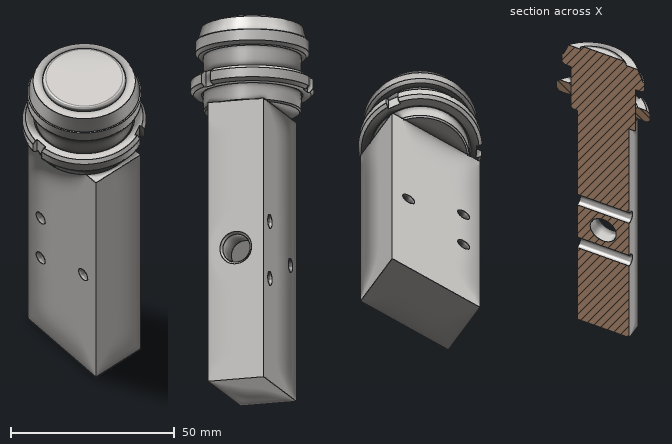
import cadquery as cq

block_width = 32.0
block_depth = 18.0
base_height = 19.0
middle_height = 45.0
upper_height = 24.0
block_height = base_height + middle_height + upper_height
middle_center_z = base_height + middle_height / 2

mount_hole_diameter = 4.25
mount_hole_offset_x = 10.0
mount_hole_offset_z = 9.0

port_diameter = 8.8
port_mouth_diameter = 10.2
port_depth = 9.0

barrel_diameter = 30.0
barrel_edge_chamfer = 0.5
collar_diameter = 35.0
collar_bottom_z = 105.5
collar_chamfer = 1.0
cone_bottom_diameter = 34.0
cone_bottom_z = 110.0
cone_top_diameter = 31.3
cone_top_z = 114.5
button_diameter = 25.5
button_top_z = 116.0
button_edge_radius = 1.0

nut_diameter = 38.0
nut_bottom_z = 93.5
nut_thickness = 5.0
nut_chamfer = 1.0
nut_bore_chamfer = 0.5
slot_width = 4.0
slot_floor_distance = 17.2
slot_count = 3
first_slot_angle = -90.0


def make_block():
    """One block; its middle section carries the mounting holes and the port."""
    block = cq.Workplane("XY").box(block_width, block_depth, block_height, centered=(True, True, False))
    hole_places = [
        (-mount_hole_offset_x, middle_center_z + mount_hole_offset_z),
        (-mount_hole_offset_x, middle_center_z - mount_hole_offset_z),
        (mount_hole_offset_x, middle_center_z),
    ]
    holes = (
        cq.Workplane("XZ")
        .pushPoints(hole_places)
        .circle(mount_hole_diameter / 2)
        .extrude(block_depth / 2, both=True)
    )
    return block.cut(holes).cut(make_port())


def make_port():
    """Blind round port with a 45 degree countersunk mouth, entering from -X."""
    countersink = (port_mouth_diameter - port_diameter) / 2
    face_x = -block_width / 2
    profile = [
        (face_x, 0),
        (face_x, port_mouth_diameter / 2),
        (face_x + countersink, port_diameter / 2),
        (face_x + port_depth, port_diameter / 2),
        (face_x + port_depth, 0),
    ]
    port = cq.Workplane("XY").polyline(profile).close().revolve(360, (0, 0, 0), (1, 0, 0))
    return port.translate((0, 0, middle_center_z))


def make_head():
    """Barrel, chamfered collar, cone and round-edged button turned about Z."""
    barrel_radius = barrel_diameter / 2
    collar_radius = collar_diameter / 2
    button_flat_radius = button_diameter / 2 - button_edge_radius
    return (
        cq.Workplane("XZ")
        .moveTo(0, block_height)
        .lineTo(barrel_radius - barrel_edge_chamfer, block_height)
        .lineTo(barrel_radius, block_height + barrel_edge_chamfer)
        .lineTo(barrel_radius, collar_bottom_z)
        .lineTo(collar_radius - collar_chamfer, collar_bottom_z)
        .lineTo(collar_radius, collar_bottom_z + collar_chamfer)
        .lineTo(collar_radius, cone_bottom_z)
        .lineTo(cone_bottom_diameter / 2, cone_bottom_z)
        .lineTo(cone_top_diameter / 2, cone_top_z)
        .lineTo(button_diameter / 2, cone_top_z)
        .lineTo(button_diameter / 2, button_top_z - button_edge_radius)
        .radiusArc((button_flat_radius, button_top_z), -button_edge_radius)
        .lineTo(0, button_top_z)
        .close()
        .revolve(360, (0, 0, 0), (0, 1, 0))
    )


def make_ring_nut():
    """Ring on the barrel, chamfered on its rim, with evenly spaced spanner slots."""
    ring = (
        cq.Workplane("XY", origin=(0, 0, nut_bottom_z))
        .circle(nut_diameter / 2)
        .extrude(nut_thickness)
        .edges()
        .chamfer(nut_chamfer)
    )
    bore = cq.Workplane("XY", origin=(0, 0, nut_bottom_z)).circle(barrel_diameter / 2).extrude(nut_thickness)
    ring = ring.cut(bore).edges(cq.selectors.RadiusNthSelector(0)).chamfer(nut_bore_chamfer)
    for index in range(slot_count):
        slot = (
            cq.Workplane("XY", origin=(0, 0, nut_bottom_z))
            .rect(nut_diameter, slot_width)
            .extrude(nut_thickness)
            .translate((slot_floor_distance + nut_diameter / 2, 0, 0))
            .rotate((0, 0, 0), (0, 0, 1), first_slot_angle + index * 360 / slot_count)
        )
        ring = ring.cut(slot)
    return ring


valve = make_block().union(make_head())
ring_nut = make_ring_nut()

result = cq.Compound.makeCompound([valve.val(), ring_nut.val()])